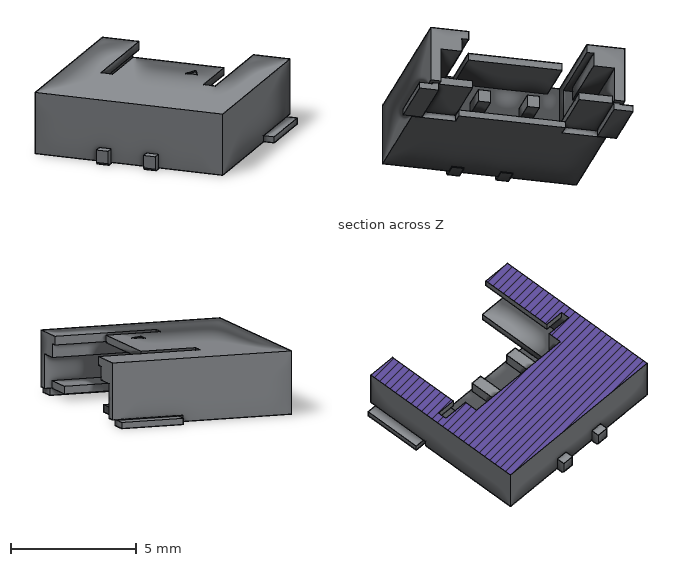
import cadquery as cq
body_width = 7.95
body_depth = 7.6
standoff = 0.04
top = 2.6
overlap = 0.09
open_end = body_depth + overlap
above = top + overlap

cavity_back = 3.3
slot_outer = 2.42
tongue_half_width = 1.925
tongue_end = 5.62
tongue_thickness = 0.3
floor_half_width = 2.19
floor_end = 5.13
floor_top = 0.31

channel_wall = 3.56
channel_back = 3.9
arm_roof_thickness = 0.35
rail_inner = 2.7
rail_back = 4.28
rail_depth = 0.9
lower_lip_end = 7.3
lower_lip_top = 0.6

relief_back = 4.62
relief_top = 0.3

tab_outer = 4.375
tab_width = 0.78
tab_thickness = 0.25
tab_back = 4.75
tab_length = 2.62

pitch = 2.0
terminal_width = 0.5
tail_reach = 0.35
tail_height = 0.61
foot_inset = 0.48
tail_bevel = 0.1
contact_end = 4.64
contact_top = 1.52
contact_height = terminal_width

mark_width = 0.5
mark_base = 4.4
mark_length = 0.5
mark_depth = 0.05


def block(x_range, y_range, z_range):
    """Axis-aligned box between the given limits."""
    (x0, x1), (y0, y1), (z0, z1) = x_range, y_range, z_range
    return cq.Workplane("XY").box(x1 - x0, y1 - y0, z1 - z0, centered=False).translate((x0, y0, z0))


def both_sides(shape):
    """The shape together with its mirror image about the YZ plane."""
    return shape.union(shape.mirror("YZ"))


def central_block(half_width, y_range, z_range):
    return block((-half_width, half_width), y_range, z_range)


def plug_opening():
    """Central opening between the arms, leaving the floor, the lower lips and the tongue."""
    upper = central_block(slot_outer, (cavity_back, open_end), (lower_lip_top, above))
    between_lips = central_block(floor_half_width, (cavity_back, open_end), (floor_top, lower_lip_top))
    past_floor = central_block(floor_half_width, (floor_end, open_end), (0, floor_top))
    tongue = central_block(tongue_half_width, (cavity_back, tongue_end), (top - tongue_thickness, above))
    return upper.union(between_lips).union(past_floor).cut(tongue)


def housing():
    body = central_block(body_width / 2, (0, body_depth), (standoff, top)).cut(plug_opening())

    channel = block((slot_outer - overlap, channel_wall), (channel_back, open_end),
                    (lower_lip_top, top - arm_roof_thickness))
    rail = block((rail_inner, channel_wall), (rail_back, open_end), (top - rail_depth, top))
    body = body.cut(both_sides(channel.cut(rail)))

    lip_trim = block((floor_half_width, channel_wall), (lower_lip_end, open_end), (0, lower_lip_top))
    relief = block((floor_half_width, body_width / 2 + overlap), (relief_back, open_end), (0, relief_top))
    return body.cut(both_sides(lip_trim)).cut(both_sides(relief))


def solder_tab():
    """L-shaped tab whose upright leg is anchored in the arm's side wall."""
    inner = tab_outer - tab_width
    y_range = (tab_back, tab_back + tab_length)
    pad = block((inner, tab_outer), y_range, (0, tab_thickness))
    leg = block((inner, inner + tab_thickness), y_range, (0, relief_top + overlap))
    return pad.union(leg)


def terminal(x):
    x_range = (x - terminal_width / 2, x + terminal_width / 2)
    tail = block(x_range, (-tail_reach, foot_inset), (0, tail_height))
    tail = tail.faces("<Y").edges("<Z").chamfer(tail_bevel)
    contact = block(x_range, (cavity_back - overlap, contact_end), (contact_top - contact_height, contact_top))
    return tail.union(contact)


def pin_one_mark():
    x = pitch / 2
    corners = [
        (x - mark_width / 2, mark_base),
        (x + mark_width / 2, mark_base),
        (x, mark_base + mark_length),
    ]
    return cq.Workplane("XY", origin=(0, 0, top - mark_depth)).polyline(corners).close().extrude(mark_depth)


result = housing().union(both_sides(solder_tab()))
for terminal_x in (-pitch / 2, pitch / 2):
    result = result.union(terminal(terminal_x))
result = result.cut(pin_one_mark())